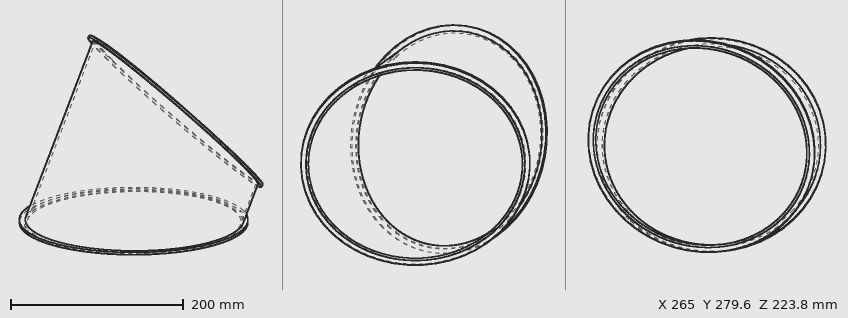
import cadquery as cq
import math

BEND_ANGLE = 45.0
FLANGE_DIAMETER = 265.0
FLANGE_THICKNESS = 3.0
TUBE_DIAMETER = 253.0
TUBE_WALL = 3.0
HINGE_CLEARANCE = 50.0
END_TILT = 0.475

HINGE_Y = FLANGE_DIAMETER / 2 + HINGE_CLEARANCE
HALF_ANGLE = BEND_ANGLE / 2
TUBE_RADIUS = TUBE_DIAMETER / 2
BORE_RADIUS = TUBE_RADIUS - TUBE_WALL
TRIM_SIZE = 4 * FLANGE_DIAMETER


def mirror_to_top(shape):
    """Turn a base-end shape about the hinge line and flip it onto the top end."""
    flipped = shape.mirror("XY")
    return flipped.rotate((0, HINGE_Y, 0), (1, HINGE_Y, 0), -BEND_ANGLE)


def slanted_cylinder(radius):
    """Cylinder leaning half the bend angle towards +Y; every horizontal section is a circle."""
    lean = math.radians(HALF_ANGLE)
    axis_plane = cq.Plane(origin=(0, 0, 0), xDir=(1, 0, 0), normal=(0, math.sin(lean), math.cos(lean)))
    return (
        cq.Workplane(axis_plane)
        .workplane(offset=-FLANGE_DIAMETER / 2)
        .ellipse(radius, radius * math.cos(lean))
        .extrude(2 * FLANGE_DIAMETER)
    )


def base_flange():
    """Flat ring whose hole follows the outside of the tube."""
    disc = cq.Workplane("XY").circle(FLANGE_DIAMETER / 2).extrude(FLANGE_THICKNESS)
    return disc.cut(slanted_cylinder(TUBE_RADIUS))


def base_trim():
    """Block below the base end of the tube; its top leans down towards -Y."""
    block = cq.Workplane("XY").box(TRIM_SIZE, TRIM_SIZE, TRIM_SIZE, centered=(True, True, False))
    block = block.translate((0, 0, -TRIM_SIZE))
    return block.rotate((0, 0, 0), (1, 0, 0), END_TILT)


def tube():
    """Slanted pipe with both ends trimmed, each standing slightly proud on the -Y half of its flange."""
    pipe = slanted_cylinder(TUBE_RADIUS).cut(slanted_cylinder(BORE_RADIUS))
    trim = base_trim()
    return pipe.cut(trim).cut(mirror_to_top(trim))


flange = base_flange()
result = tube().union(flange).union(mirror_to_top(flange))